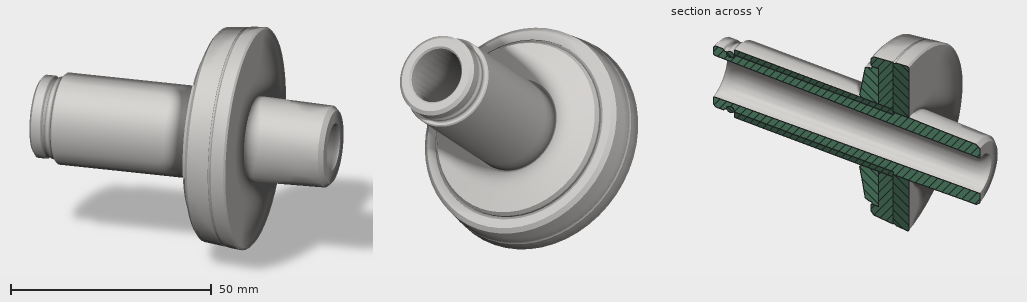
import cadquery as cq

total_length = 76.0

journal_radius = 9.8
nose_radius = 10.4
nose_end_x = 3.0
nose_relief_x = 3.35
nose_chamfer_length = 0.7
nose_chamfer_depth = 0.9
bore_radius = 7.0
bore_exit_radius = 5.9
bore_chamfer = 0.45
stub_radius = 10.7
stub_taper_start_x = 56.1
stub_tip_radius = 10.25
stub_chamfer_length = 1.15
stub_chamfer_depth = 1.1

ring_x = 4.95
ring_centre_radius = 9.4
ring_section_radius = 1.0

sleeve_radius = 11.55
sleeve_front_x = 6.0
sleeve_chamfer = 0.3

cover_front_x = 41.65
cover_rim_x = 43.25
cover_side_x = 44.4
cover_flange_x = 45.2
cover_back_x = 47.1
cover_mouth_radius = 12.2
cover_mouth_depth = 0.5
cover_rim_radius = 22.1
cover_side_radius = 22.7
cover_flange_radius = 23.5

wheel_front_x = 44.85
wheel_front_radius = 25.8
wheel_bevel_x = 45.75
wheel_bevel_radius = 26.9
wheel_joint_x = 51.3
wheel_joint_radius = 27.5

groove_end_x = 51.75
groove_radius = 27.3
rear_bevel_x = 52.1
rear_bevel_radius = 27.7
rim_x = 55.4
rim_radius = 28.0
wheel_back_x = 55.85
wheel_back_radius = 27.5


def turn(points):
    """Revolve a closed (x, radius) outline about the X axis."""
    return cq.Workplane("XY").polyline(points).close().revolve(360, (0, 0, 0), (1, 0, 0))


def make_o_ring():
    section = cq.Workplane("XY").center(ring_x, ring_centre_radius).circle(ring_section_radius)
    return section.revolve(360, (0, -ring_centre_radius, 0), (1, -ring_centre_radius, 0))


def make_spindle(o_ring):
    body = turn([
        (0, bore_radius + bore_chamfer),
        (0, nose_radius - nose_chamfer_depth),
        (nose_chamfer_length, nose_radius),
        (nose_end_x, nose_radius),
        (nose_relief_x, journal_radius),
        (wheel_joint_x, journal_radius),
        (wheel_joint_x, stub_radius),
        (stub_taper_start_x, stub_radius),
        (total_length - stub_chamfer_length, stub_tip_radius),
        (total_length, stub_tip_radius - stub_chamfer_depth),
        (total_length, bore_exit_radius),
        (bore_chamfer, bore_radius),
    ])
    return body.cut(o_ring)


def make_sleeve():
    return turn([
        (sleeve_front_x, journal_radius),
        (sleeve_front_x, sleeve_radius - sleeve_chamfer),
        (sleeve_front_x + sleeve_chamfer, sleeve_radius),
        (wheel_joint_x, sleeve_radius),
        (wheel_joint_x, journal_radius),
    ])


def make_cover():
    return turn([
        (cover_front_x + cover_mouth_depth, sleeve_radius),
        (cover_front_x, cover_mouth_radius),
        (cover_rim_x, cover_rim_radius),
        (cover_side_x, cover_side_radius),
        (cover_flange_x, cover_side_radius),
        (cover_flange_x, cover_flange_radius),
        (cover_back_x, cover_flange_radius),
        (cover_back_x, sleeve_radius),
    ])


def make_front_ring():
    """Front half of the wheel, with a recess that holds the cover."""
    return turn([
        (cover_back_x, sleeve_radius),
        (cover_back_x, cover_flange_radius),
        (wheel_front_x, cover_flange_radius),
        (wheel_front_x, wheel_front_radius),
        (wheel_bevel_x, wheel_bevel_radius),
        (wheel_joint_x, wheel_joint_radius),
        (wheel_joint_x, sleeve_radius),
    ])


def make_rear_ring():
    """Rear half of the wheel, seated on the spindle's stub."""
    return turn([
        (wheel_joint_x, stub_radius),
        (wheel_joint_x, groove_radius),
        (groove_end_x, groove_radius),
        (rear_bevel_x, rear_bevel_radius),
        (rim_x, rim_radius),
        (wheel_back_x, wheel_back_radius),
        (wheel_back_x, stub_radius),
    ])


o_ring = make_o_ring()
spindle = make_spindle(o_ring)
sleeve = make_sleeve()
cover = make_cover()
front_ring = make_front_ring()
rear_ring = make_rear_ring()

result = cq.Compound.makeCompound([
    spindle.val(),
    o_ring.val(),
    sleeve.val(),
    cover.val(),
    front_ring.val(),
    rear_ring.val(),
])